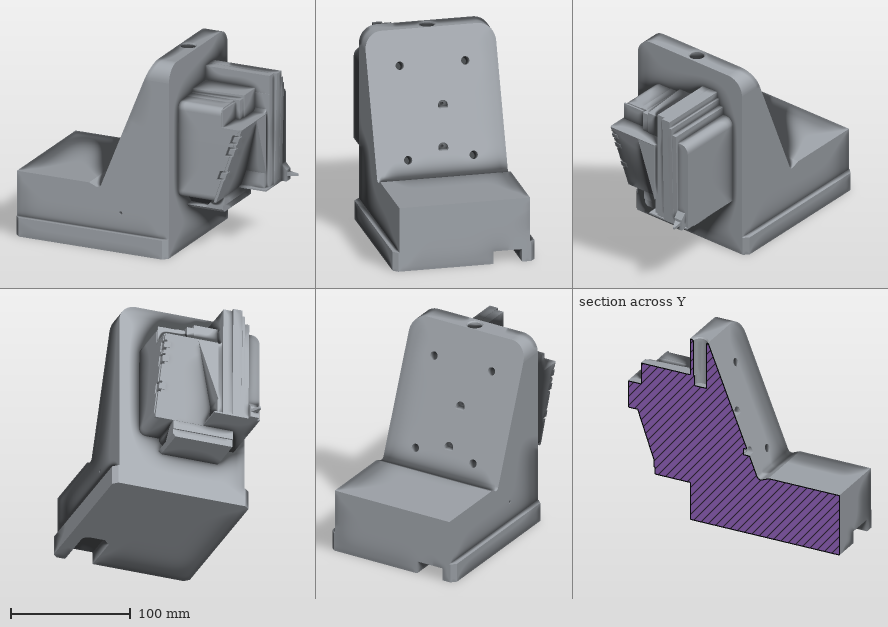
import cadquery as cq
import math

length = 141.0
body_half_width = 56.0
flange_half_width = 61.0
flange_height = 16.6
flange_chamfer = 4.0
step_height = 56.0
back_height = 169.3
relief_start_x = 67.0
relief_x = 76.5
relief_z = 52.0
relief_radius = 3.5
slope_top_x = 124.0
corner_radius = 14.7

bolt_hole_diameter = 7.0
bolt_half_spacing = 28.1
bolt_heights = (67.8, 141.2)
bolt_depth = 12.8
pocket_diameter = 8.5
pocket_drop = 2.1
pocket_depth = 4.7
pocket_places = ((-5.8, 108.0), (-2.8, 75.0))
pilot_diameter = 3.0
pilot_depth = 4.3

top_hole_x = 131.8
top_hole_diameter = 12.2
top_hole_chamfer = 1.0
top_hole_depth = 42.6
pin_hole_x = 96.2
pin_hole_z = 33.5
pin_hole_diameter = 3.0
pin_hole_depth = 8.5
slot_outer_y = -49.3
slot_inner_y = -24.5
slot_height = 11.0
slot_depth = 42.6
slot_corner = 6.0

embed = 4.3
housing_front_y = -38.5
housing_bottom = 48.8
housing_top = 132.2
housing_round = 6.2
housing_end_x = 180.5
nose_bottom_x = 173.4
nose_top_x = 197.0
shelf_z = 116.2
shelf_thickness = 1.7
shelf_end_x = 197.7
rim_width = 2.3
lug_ranges = ((103.0, 111.0), (91.7, 100.2), (69.5, 78.0))
window_width = 4.0
window_depth = 3.2
shroud_front_y = 9.5
ridge_front_y = 13.9
ridge_step_y = 21.3
ridge_back_y = 29.5
shroud_back_y = 46.0
ridge_top = 148.6
ridge_end_x = 203.7
shroud_foot_x = 201.0
back_end_x = 200.0


def box(x0, x1, y0, y1, z0, z1):
    """Axis-aligned block between two opposite corners."""
    return cq.Workplane("XY").box(x1 - x0, y1 - y0, z1 - z0, centered=False).translate((x0, y0, z0))


def side_prism(points, y0, y1):
    """Outline in (x, z) swept from y0 to y1."""
    return cq.Workplane("XZ", origin=(0, y0, 0)).polyline(points).close().extrude(y0 - y1)


def slope_x(z):
    """X of the sloped face at height z."""
    return relief_x + (z - relief_z) * (slope_top_x - relief_x) / (back_height - relief_z)


def bracket():
    profile = [
        (0, 0), (length, 0), (length, back_height), (slope_top_x, back_height),
        (relief_x, relief_z), (relief_start_x, step_height), (0, step_height),
    ]
    body = side_prism(profile, -body_half_width, body_half_width)
    slope_foot = cq.selectors.NearestToPointSelector((relief_x, 0, relief_z))
    body = body.edges("|Y").edges(slope_foot).fillet(relief_radius)
    outline = (
        box(0, length, -body_half_width, body_half_width, 0, back_height)
        .edges("|X and >Z").fillet(corner_radius)
    )
    flange = (
        box(0, length, -flange_half_width, flange_half_width, 0, flange_height)
        .edges("|Z").chamfer(flange_chamfer)
    )
    return body.intersect(outline).union(flange)


def bolt_holes():
    """Blind holes square to the sloped face."""
    tilt = math.atan2(slope_top_x - relief_x, back_height - relief_z)
    inward = cq.Vector(math.cos(tilt), 0, -math.sin(tilt))
    cutter = cq.Workplane("XY")
    for z in bolt_heights:
        for y in (-bolt_half_spacing, bolt_half_spacing):
            start = cq.Vector(slope_x(z), y, z) - inward * bolt_hole_diameter
            depth = bolt_depth + bolt_hole_diameter
            cutter = cutter.add(cq.Solid.makeCylinder(bolt_hole_diameter / 2, depth, start, inward))
    return cutter.combine()


def d_pockets():
    """Flat-bottomed round pockets in the slope, each with a small pilot hole."""
    radius = pocket_diameter / 2
    cutter = cq.Workplane("XY")
    for y, z in pocket_places:
        floor_x = slope_x(z) + pocket_depth
        start_x = floor_x - 2 * pocket_depth
        pocket = cq.Workplane("YZ", origin=(start_x, y, z)).circle(radius).extrude(floor_x - start_x)
        pocket = pocket.intersect(
            box(start_x, floor_x, y - radius, y + radius, z - pocket_drop, z + radius)
        )
        pilot = cq.Workplane("YZ", origin=(floor_x, y, z)).circle(pilot_diameter / 2).extrude(pilot_depth)
        cutter = cutter.union(pocket).union(pilot)
    return cutter


def top_hole():
    """Blind hole down into the wall with a chamfered mouth."""
    radius = top_hole_diameter / 2
    mouth = radius + top_hole_chamfer
    half_section = [
        (0, 0), (mouth, 0), (radius, -top_hole_chamfer), (radius, -top_hole_depth), (0, -top_hole_depth),
    ]
    hole = cq.Workplane("XZ").polyline(half_section).close().revolve(360, (0, 0), (0, 1))
    return hole.translate((top_hole_x, 0, back_height))


def pin_hole():
    return (
        cq.Workplane("XZ", origin=(pin_hole_x, -body_half_width, pin_hole_z))
        .circle(pin_hole_diameter / 2).extrude(-pin_hole_depth)
    )


def base_slot():
    """Slot open at the front and below; one inner corner is bevelled, the other round."""
    slot = box(0, slot_depth, slot_outer_y, slot_inner_y, 0, slot_height)
    slot = slot.edges("|Z and >X and >Y").chamfer(slot_corner)
    return slot.edges("|Z and >X and <Y").fillet(slot_corner)


def nose_x(z):
    """X of the housing's raked end at height z."""
    return nose_bottom_x + (z - housing_bottom) * (nose_top_x - nose_bottom_x) / (shelf_z - housing_bottom)


def housing():
    """Front half: rounded along its -Y edges, slightly drafted above mid height, raked end."""
    start_x = length - embed
    draft_start_z = 101.3
    draft = 0.5
    end_rim_x = 182.0
    end_rim_inset = 1.0
    outline = [
        (start_x, housing_bottom), (nose_bottom_x, housing_bottom), (nose_top_x, shelf_z),
        (housing_end_x, shelf_z), (housing_end_x, housing_top), (start_x, housing_top),
    ]
    rounded = (
        cq.Workplane("YZ", origin=(start_x, 0, 0))
        .polyline([
            (ridge_front_y, housing_bottom), (housing_front_y, housing_bottom),
            (housing_front_y, draft_start_z), (housing_front_y + draft, housing_top),
            (ridge_front_y, housing_top),
        ])
        .close().extrude(ridge_end_x - start_x)
    )
    low_edge = cq.selectors.NearestToPointSelector((nose_bottom_x, housing_front_y, housing_bottom))
    high_edge = cq.selectors.NearestToPointSelector((nose_bottom_x, housing_front_y + draft, housing_top))
    rounded = rounded.edges("|X").edges(low_edge).fillet(housing_round)
    rounded = rounded.edges("|X").edges(high_edge).fillet(housing_round)
    end_rim = box(
        housing_end_x, end_rim_x, housing_front_y + end_rim_inset, ridge_front_y,
        shelf_z, housing_top - end_rim_inset,
    )
    return side_prism(outline, housing_front_y, ridge_front_y).intersect(rounded).union(end_rim)


def shelf():
    """Thin shelf beyond the housing, coved into the shroud above and braced by a leaning web below."""
    web_front_y = -8.5
    web_end_x = 199.2
    web_foot_z = 63.3
    plate = box(
        housing_end_x, shelf_end_x, housing_front_y, ridge_front_y, shelf_z - shelf_thickness, shelf_z
    )
    cove_radius = ridge_front_y - shroud_front_y
    cove = (
        box(
            housing_end_x, shelf_end_x, shroud_front_y, ridge_front_y, shelf_z, shelf_z + cove_radius
        )
        .cut(
            cq.Workplane("YZ", origin=(housing_end_x, shroud_front_y, shelf_z + cove_radius))
            .circle(cove_radius).extrude(shelf_end_x - housing_end_x)
        )
    )
    web = (
        cq.Workplane("YZ", origin=(housing_end_x, 0, 0))
        .polyline([(web_front_y, shelf_z), (shroud_front_y, web_foot_z), (shroud_front_y, shelf_z)])
        .close().extrude(web_end_x - housing_end_x)
    )
    return plate.union(cove).union(web)


def cover():
    """Stepped top: a wedge-shaped cover and two low plates in front of it."""
    start_x = length - embed
    cover_top = 135.8
    cover_end_x = 187.0
    cover_wide_y = -11.0
    cover_narrow_y = -7.3
    plates = ((-20.5, housing_end_x, 132.6), (-13.5, 186.2, 133.3))
    body = (
        cq.Workplane("XY", origin=(0, 0, shelf_z))
        .polyline([
            (start_x, ridge_front_y), (start_x, cover_wide_y),
            (cover_end_x, cover_narrow_y), (cover_end_x, ridge_front_y),
        ])
        .close().extrude(cover_top - shelf_z)
    )
    for front_y, end_x, top in plates:
        body = body.union(box(start_x, end_x, front_y, ridge_front_y, shelf_z, top))
    return body


def raked_strip(low, high, left, right, y0, y1):
    """Strip along the raked end, between two X offsets from it."""
    return side_prism(
        [
            (nose_x(low) + left, low), (nose_x(low) + right, low),
            (nose_x(high) + right, high), (nose_x(high) + left, high),
        ],
        y0, y1,
    )


def end_rim_strip():
    """Raked rim set back slightly from the housing's front face."""
    rim_setback = 0.9
    return raked_strip(
        housing_bottom, shelf_z, 0, rim_width, housing_front_y + rim_setback, shroud_front_y
    )


def snap_windows():
    """Notches through the raked rim at each snap lug."""
    cutter = cq.Workplane("XY")
    for low, high in lug_ranges:
        cutter = cutter.union(
            raked_strip(low, high, -window_width, rim_width, housing_front_y, housing_front_y + window_depth)
        )
    return cutter


def snap_lugs():
    """Small lug inside each window, standing just past the rim."""
    border = 2.0
    lug_setback = 0.6
    lugs = cq.Workplane("XY")
    for low, high in lug_ranges:
        lugs = lugs.union(
            raked_strip(
                low + border, high - border, border - window_width, rim_width + lug_setback,
                housing_front_y + lug_setback, housing_front_y + 2 * window_depth,
            )
        )
    return lugs


def shroud():
    """Rear half: a tall ridge with lower steps behind it."""
    start_x = length - embed
    ridge_drop = 0.2
    sill_front_y = 13.5
    floor_front_y = 5.3
    floor_top = 50.1
    ridge_low_end_x = 200.2
    steps = (
        (shroud_front_y, ridge_front_y, shelf_end_x, shelf_z),
        (sill_front_y, ridge_front_y, ridge_low_end_x, housing_top),
        (ridge_front_y, ridge_step_y, ridge_low_end_x, ridge_top - ridge_drop),
        (ridge_step_y, ridge_back_y, ridge_end_x, ridge_top),
        (ridge_back_y, 31.5, 204.0, 142.9),
        (31.5, 35.8, 203.0, 136.5),
        (35.8, 38.8, back_end_x, 129.0),
    )
    body = cq.Workplane("XY")
    for front, back, end_x, top in steps:
        outline = [
            (start_x, housing_bottom), (min(shroud_foot_x, end_x), housing_bottom),
            (end_x, top), (start_x, top),
        ]
        body = body.union(side_prism(outline, front, back))
    rear_round = 7.0
    rear = (
        box(start_x, back_end_x, steps[-1][1], shroud_back_y, housing_bottom, steps[-1][3])
        .edges("|X and >Y and >Z").fillet(rear_round)
    )
    floor = box(start_x, shroud_foot_x, floor_front_y, shroud_back_y, housing_bottom, floor_top)
    return body.union(rear).union(floor)


def latch():
    """Foot at the shroud's lower end carrying a thin tapered tongue."""
    foot_x = 205.1
    foot_front_y = 35.8
    foot_back_y = 43.5
    foot_shoulder = 58.6
    foot_top = 63.3
    foot = side_prism(
        [
            (length, housing_bottom), (foot_x, housing_bottom), (foot_x, foot_shoulder),
            (shroud_foot_x, foot_top), (length, foot_top),
        ],
        foot_front_y, foot_back_y,
    )
    tip_x = 213.2
    tongue_root_x = 202.5
    tongue_low = 53.3
    tongue_high = 56.3
    tip_thickness = 2.0
    tongue_front_y = 36.7
    tip_front_y = 41.0
    tongue_back_y = 42.5
    side = side_prism(
        [
            (tongue_root_x, tongue_low), (tip_x, tongue_low), (tip_x, tongue_low + tip_thickness),
            (foot_x, tongue_high), (tongue_root_x, tongue_high),
        ],
        foot_front_y, foot_back_y,
    )
    plan = (
        cq.Workplane("XY", origin=(0, 0, tongue_low))
        .polyline([
            (tongue_root_x, tongue_front_y), (foot_x, tongue_front_y), (tip_x, tip_front_y),
            (tip_x, tongue_back_y), (tongue_root_x, tongue_back_y),
        ])
        .close().extrude(tongue_high - tongue_low)
    )
    return foot.union(side.intersect(plan))


def lower_block():
    """Block under the connector with an undercut on its -Y side and a lip below."""
    start_x = length - embed
    end_x = 175.5
    lip_end_x = 174.2
    front_y = -21.3
    back_y = 32.0
    bottom = 34.5
    lip_top = 37.0
    lip_step_z = 41.2
    strip_depth = 0.9
    strip_bottom = 45.6
    undercut_top_x = 168.0
    undercut_bottom_x = 158.2
    undercut_reach = 8.5
    block = side_prism(
        [
            (start_x, bottom), (lip_end_x, bottom), (lip_end_x, lip_step_z), (end_x, lip_step_z),
            (end_x, housing_bottom), (start_x, housing_bottom),
        ],
        front_y, back_y,
    )
    block = block.edges("|X and <Y and <Z").chamfer(lip_top - bottom)
    ceiling = (
        cq.Workplane("YZ", origin=(length, 0, 0))
        .polyline([
            (front_y, lip_top), (front_y, housing_bottom), (front_y + strip_depth, housing_bottom),
            (front_y + strip_depth, strip_bottom), (front_y + undercut_reach, lip_top),
        ])
        .close().extrude(undercut_top_x - length)
    )
    side_limit = side_prism(
        [
            (length, lip_top), (undercut_bottom_x, lip_top),
            (undercut_top_x, housing_bottom), (length, housing_bottom),
        ],
        front_y, front_y + undercut_reach,
    )
    return block.cut(ceiling.intersect(side_limit))


result = bracket()
for feature in (bolt_holes(), d_pockets(), top_hole(), pin_hole(), base_slot()):
    result = result.cut(feature)
for feature in (housing(), shelf(), cover(), end_rim_strip(), shroud(), latch(), lower_block()):
    result = result.union(feature)
result = result.cut(snap_windows()).union(snap_lugs())